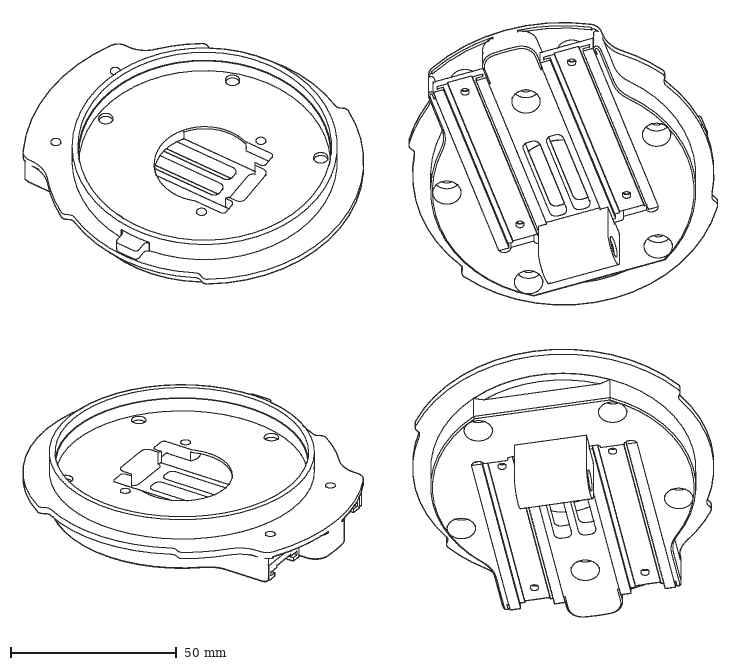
import cadquery as cq
import math


BODY_RADIUS = 80.0 / 2
RING_TOP = 6.8
RING_BORE_RADIUS = 76.0 / 2
RING_SEAT_RADIUS = 76.5 / 2
RING_SEAT_DEPTH = 3.6
FLOOR_TOP = -1.2

FLANGE_THICKNESS = 2.2
FLANGE_RADIUS = 48.0
FLANGE_SIDE_RADIUS = 45.47
RELIEF_APEX_Y = 26.6
RELIEF_HALF_ANGLE = 60.0
RELIEF_FILLET = 2.0

TONGUE_RADIUS = 55.0
TONGUE_HALF_WIDTH = 27.45
TONGUE_CORNER_FILLET = 4.0
TONGUE_ROOT_FILLET = 10.0

BODY_BOTTOM = -10.6
BODY_FLAT_X = 34.1
LIP_BOTTOM = -3.5
LIP_CHAMFER_WIDTH = 1.5
LIP_CHAMFER_HEIGHT = 1.2
BOTTOM_CHAMFER = 0.5
POST_FILLET = 5.0
WALL_TIP_FILLET = 0.88
MOUTH_END_X = -45.3

RAIL_INNER_Y = 8.5
RAIL_OUTER_Y = 25.4
RAIL_FRONT_X = -47.3
RAIL_LENGTH = 61.8
RAIL_TOP = -5.3
SLOT_OPENING = 10.4
SLOT_WIDTH = 14.6
SLOT_LIP = 1.2
SLOT_CEILING = 2.5
GROOVE_WIDTH = 7.8
GROOVE_CEILING = 3.1

RAIL_WIDTH = RAIL_OUTER_Y - RAIL_INNER_Y
RAIL_Y = (RAIL_INNER_Y + RAIL_OUTER_Y) / 2
RAIL_HEIGHT = RAIL_TOP - BODY_BOTTOM
RAIL_END_X = RAIL_FRONT_X + RAIL_LENGTH

FRONT_SCREW_X = -42.3
REAR_SCREW_X = 9.42
SCREW_CLEARANCE = 3.0
SCREW_THREAD = 2.5
BOSS_RADIUS = 9.0 / 2

RELIEF_END_X = 15.8
INNER_RELIEF_Y = 14.27
INNER_RELIEF_BOTTOM = -11.4
INNER_RELIEF_FILLET = 1.1
OUTER_RELIEF_FILLET = 1.9

OPENING_RADIUS = 15.2
CABLE_SLOT_INNER_Y = 1.08
CABLE_SLOT_OUTER_Y = 6.4
CABLE_SLOT_START_X = -20.6
CABLE_SLOT_END_X = 8.0
CABLE_SLOT_FILLET = 2.0
FIXING_COUNT = 5
FIXING_CIRCLE_RADIUS = 35.1
FIXING_HOLE = 4.3
FIXING_HEAD = 8.5
FIXING_SEAT = 1.3

LUG_X = 14.8
LUG_RADIUS = 5.61
LUG_WIDTH = 22.1
LUG_BOTTOM = -30.2
PIN_HOLE = 5.0
PIN_COUNTERSINK = 6.5
LUG_POCKET_LENGTH = 6.3
LUG_POCKET_WIDTH = 15.2
LUG_POCKET_FILLET = 2.1
LUG_POCKET_BOTTOM = -16.5

KEY_WIDTH = 7.7
KEY_END_Y = -45.0
KEY_TOP = 3.7
KEY_FILLET = 1.1

SIDES = (-1, 1)


def box(x0, x1, y0, y1, z0, z1):
    return cq.Workplane("XY").box(x1 - x0, y1 - y0, z1 - z0, centered=False).translate((x0, y0, z0))


def side_box(side, x0, x1, inner_y, outer_y, z0, z1):
    """Box between two distances from the XZ plane, on the +Y or -Y side."""
    return box(x0, x1, min(side * inner_y, side * outer_y), max(side * inner_y, side * outer_y), z0, z1)


def disc(radius, z0, z1, x=0, y=0):
    return cq.Workplane("XY", origin=(x, y, z0)).circle(radius).extrude(z1 - z0)


def round_upright_edges(body, radius, x_range, y_range):
    """Fillet the vertical edges inside a range of X and of distance from the XZ plane."""
    def wanted(edge):
        center = edge.Center()
        in_x = x_range[0] < center.x < x_range[1]
        return in_x and y_range[0] < abs(center.y) < y_range[1]

    edges = [edge for edge in body.edges("|Z").vals() if wanted(edge)]
    return body.newObject(edges).fillet(radius)


def tongued_disc(outer, z0, z1):
    """A disc-like body with the wide tongue added on its -X side and the joints rounded."""
    tongue = disc(TONGUE_RADIUS, z0, z1).intersect(
        box(-TONGUE_RADIUS, 0, -TONGUE_HALF_WIDTH, TONGUE_HALF_WIDTH, z0, z1)
    )
    tongue_y = (TONGUE_HALF_WIDTH - 0.1, TONGUE_HALF_WIDTH + 0.1)
    corner_x = -math.sqrt(TONGUE_RADIUS**2 - TONGUE_HALF_WIDTH**2)
    body = outer.union(tongue)
    body = round_upright_edges(body, TONGUE_CORNER_FILLET, (corner_x - 1, corner_x + 1), tongue_y)
    return round_upright_edges(body, TONGUE_ROOT_FILLET, (corner_x + 1, -1), tongue_y)


def make_flange():
    z0 = -FLANGE_THICKNESS
    reach = FLANGE_RADIUS
    spread = (reach - RELIEF_APEX_Y) * math.tan(math.radians(RELIEF_HALF_ANGLE))
    outer = disc(FLANGE_RADIUS, z0, 0)
    for side in SIDES:
        relief = cq.Workplane("XY", origin=(0, 0, z0)).polyline(
            [(0, side * RELIEF_APEX_Y), (-spread, side * reach), (spread, side * reach)]
        )
        outer = outer.cut(relief.close().extrude(FLANGE_THICKNESS))
    outer = outer.union(disc(FLANGE_SIDE_RADIUS, z0, 0))
    outer = round_upright_edges(
        outer, RELIEF_FILLET, (-spread, spread), (RELIEF_APEX_Y, FLANGE_RADIUS)
    )
    flange = tongued_disc(outer, z0, 0)
    for side in SIDES:
        flange = flange.cut(flange_front_bevel(side))
    return flange


def flange_front_bevel(side):
    """Ring-shaped cutter that bevels the lower front edge of the tongue above a rail bay."""
    z0 = -FLANGE_THICKNESS
    post_face_y = (RAIL_INNER_Y - POST_FILLET) * TONGUE_RADIUS / (TONGUE_RADIUS - POST_FILLET)
    cone = cq.Workplane("XY").add(
        cq.Solid.makeCone(
            TONGUE_RADIUS - BOTTOM_CHAMFER,
            TONGUE_RADIUS,
            BOTTOM_CHAMFER,
            pnt=cq.Vector(0, 0, z0),
        )
    )
    ring = disc(TONGUE_RADIUS + 1, z0, z0 + BOTTOM_CHAMFER).cut(cone)
    return ring.intersect(
        side_box(side, -TONGUE_RADIUS - 1, RAIL_FRONT_X, post_face_y, RAIL_OUTER_Y, z0, 0)
    )


def screw_boss(side, x):
    """Round boss that reaches from the flange down to the top of a rail."""
    return disc(BOSS_RADIUS, RAIL_TOP, -FLANGE_THICKNESS, x, side * RAIL_Y)


def make_lower_body():
    """Disc with a flat end and a tongue, split by the bay mouths into a post and two side walls."""
    z0 = BODY_BOTTOM
    z1 = -FLANGE_THICKNESS
    body = tongued_disc(disc(BODY_RADIUS, z0, z1), z0, z1)
    body = body.cut(box(BODY_FLAT_X, BODY_RADIUS, -BODY_RADIUS, BODY_RADIUS, z0, z1))
    for side in SIDES:
        body = body.cut(side_box(side, -TONGUE_RADIUS, MOUTH_END_X, RAIL_INNER_Y, RAIL_OUTER_Y, z0, z1))
    mouth_x = (-TONGUE_RADIUS, MOUTH_END_X - 0.1)
    body = round_upright_edges(body, POST_FILLET, mouth_x, (RAIL_INNER_Y - 0.1, RAIL_INNER_Y + 0.1))
    body = round_upright_edges(body, WALL_TIP_FILLET, mouth_x, (RAIL_OUTER_Y - 0.1, RAIL_OUTER_Y + 0.1))
    body = body.faces("<Z").edges().chamfer(BOTTOM_CHAMFER)
    for side in SIDES:
        body = body.union(screw_boss(side, FRONT_SCREW_X))
    lip = disc(BODY_RADIUS, LIP_BOTTOM, z1)
    lip = lip.faces("<Z").edges().chamfer(LIP_CHAMFER_HEIGHT, LIP_CHAMFER_WIDTH)
    return body.union(lip)


def make_lug():
    axis_z = LUG_BOTTOM + LUG_RADIUS
    height = BODY_BOTTOM - axis_z
    return (
        cq.Workplane("XZ", origin=(LUG_X, 0, axis_z))
        .moveTo(-LUG_RADIUS, height)
        .lineTo(-LUG_RADIUS, 0)
        .threePointArc((0, -LUG_RADIUS), (LUG_RADIUS, 0))
        .lineTo(LUG_RADIUS, height)
        .close()
        .extrude(LUG_WIDTH / 2, both=True)
    )


def pin_hole():
    """Cross hole through the lug, countersunk at both ends."""
    half = LUG_WIDTH / 2
    hole_radius = PIN_HOLE / 2
    sink_radius = PIN_COUNTERSINK / 2
    sink_depth = sink_radius - hole_radius
    profile = (
        cq.Workplane("XY", origin=(LUG_X, 0, LUG_BOTTOM + LUG_RADIUS))
        .moveTo(0, -half)
        .lineTo(sink_radius, -half)
        .lineTo(hole_radius, -half + sink_depth)
        .lineTo(hole_radius, half - sink_depth)
        .lineTo(sink_radius, half)
        .lineTo(0, half)
        .close()
    )
    return profile.revolve(360, (0, 0, 0), (0, 1, 0))


def lug_pocket():
    """Rounded pocket that opens in the floor and runs down into the lug."""
    half_length = LUG_POCKET_LENGTH / 2
    half_width = LUG_POCKET_WIDTH / 2
    pocket = box(
        LUG_X - half_length, LUG_X + half_length, -half_width, half_width, LUG_POCKET_BOTTOM, FLOOR_TOP
    )
    return pocket.edges("|Z").fillet(LUG_POCKET_FILLET)


def make_key():
    """Block beside the ring with rounded outer corners and flared roots."""
    half = KEY_WIDTH / 2
    flare = half + KEY_FILLET
    root_y = -BODY_RADIUS
    return (
        cq.Workplane("XY")
        .moveTo(-flare, root_y + 1)
        .lineTo(-flare, root_y)
        .radiusArc((-half, root_y - KEY_FILLET), KEY_FILLET)
        .lineTo(-half, KEY_END_Y + KEY_FILLET)
        .radiusArc((-half + KEY_FILLET, KEY_END_Y), -KEY_FILLET)
        .lineTo(half - KEY_FILLET, KEY_END_Y)
        .radiusArc((half, KEY_END_Y + KEY_FILLET), -KEY_FILLET)
        .lineTo(half, root_y - KEY_FILLET)
        .radiusArc((flare, root_y), KEY_FILLET)
        .lineTo(flare, root_y + 1)
        .close()
        .extrude(KEY_TOP)
    )


def rail_bay(side):
    """Bay open to the front and below, leaving a screw boss at each end to clamp the rail on."""
    ceiling = -FLANGE_THICKNESS
    bay = side_box(
        side, -TONGUE_RADIUS - 1, RAIL_END_X, RAIL_INNER_Y, RAIL_OUTER_Y, BODY_BOTTOM, ceiling
    )
    outer_y = RAIL_Y + BOSS_RADIUS
    outer_relief = side_box(side, 0, RELIEF_END_X, outer_y, RAIL_OUTER_Y, BODY_BOTTOM, ceiling)
    bay = bay.union(outer_relief.edges("|Z and >X").fillet(OUTER_RELIEF_FILLET))
    for x in (FRONT_SCREW_X, REAR_SCREW_X):
        bay = bay.cut(screw_boss(side, x))
    bay = bay.cut(side_box(side, REAR_SCREW_X, RELIEF_END_X, INNER_RELIEF_Y, outer_y, RAIL_TOP, ceiling))
    inner_relief = side_box(
        side, 0, RELIEF_END_X, RAIL_INNER_Y, INNER_RELIEF_Y, INNER_RELIEF_BOTTOM, FLOOR_TOP
    )
    return bay.union(inner_relief.edges("|Z and >X").fillet(INNER_RELIEF_FILLET))


def cable_slot(side):
    slot = side_box(
        side,
        CABLE_SLOT_START_X,
        CABLE_SLOT_END_X,
        CABLE_SLOT_INNER_Y,
        CABLE_SLOT_OUTER_Y,
        BODY_BOTTOM,
        RAIL_TOP,
    )
    return slot.edges("|Z").fillet(CABLE_SLOT_FILLET)


def fixing_hole(index):
    """Through hole whose screw head sits in a wider bore from below."""
    angle = math.pi + index * 2 * math.pi / FIXING_COUNT
    x = FIXING_CIRCLE_RADIUS * math.cos(angle)
    y = FIXING_CIRCLE_RADIUS * math.sin(angle)
    hole = disc(FIXING_HOLE / 2, BODY_BOTTOM, FLOOR_TOP, x, y)
    return hole.union(disc(FIXING_HEAD / 2, BODY_BOTTOM, FLOOR_TOP - FIXING_SEAT, x, y))


def make_housing():
    housing = make_flange().union(make_lower_body()).union(make_lug())
    housing = housing.union(disc(BODY_RADIUS, -FLANGE_THICKNESS, RING_TOP)).union(make_key())
    housing = housing.cut(disc(RING_BORE_RADIUS, FLOOR_TOP, RING_TOP))
    housing = housing.cut(disc(RING_SEAT_RADIUS, RING_TOP - RING_SEAT_DEPTH, RING_TOP))
    housing = housing.cut(disc(OPENING_RADIUS, RAIL_TOP, FLOOR_TOP))
    housing = housing.cut(lug_pocket()).cut(pin_hole())
    for side in SIDES:
        housing = housing.cut(rail_bay(side)).cut(cable_slot(side))
        for x in (FRONT_SCREW_X, REAR_SCREW_X):
            housing = housing.cut(disc(SCREW_CLEARANCE / 2, RAIL_TOP, 0, x, side * RAIL_Y))
    for index in range(FIXING_COUNT):
        housing = housing.cut(fixing_hole(index))
    return housing


def make_rail(side):
    """T-slotted rail with a shallow centre groove and two tapped holes."""
    def slot(width, z0, z1):
        y = side * RAIL_Y
        return box(
            RAIL_FRONT_X, RAIL_END_X, y - width / 2, y + width / 2, BODY_BOTTOM + z0, BODY_BOTTOM + z1
        )

    rail = slot(RAIL_WIDTH, 0, RAIL_HEIGHT)
    rail = rail.cut(slot(SLOT_OPENING, 0, SLOT_LIP))
    rail = rail.cut(slot(SLOT_WIDTH, SLOT_LIP, SLOT_CEILING))
    rail = rail.cut(slot(GROOVE_WIDTH, SLOT_CEILING, GROOVE_CEILING))
    for x in (FRONT_SCREW_X, REAR_SCREW_X):
        rail = rail.cut(disc(SCREW_THREAD / 2, BODY_BOTTOM, RAIL_TOP, x, side * RAIL_Y))
    return rail


housing = make_housing()
rails = [make_rail(side) for side in SIDES]

result = cq.Compound.makeCompound([housing.val(), *[rail.val() for rail in rails]])